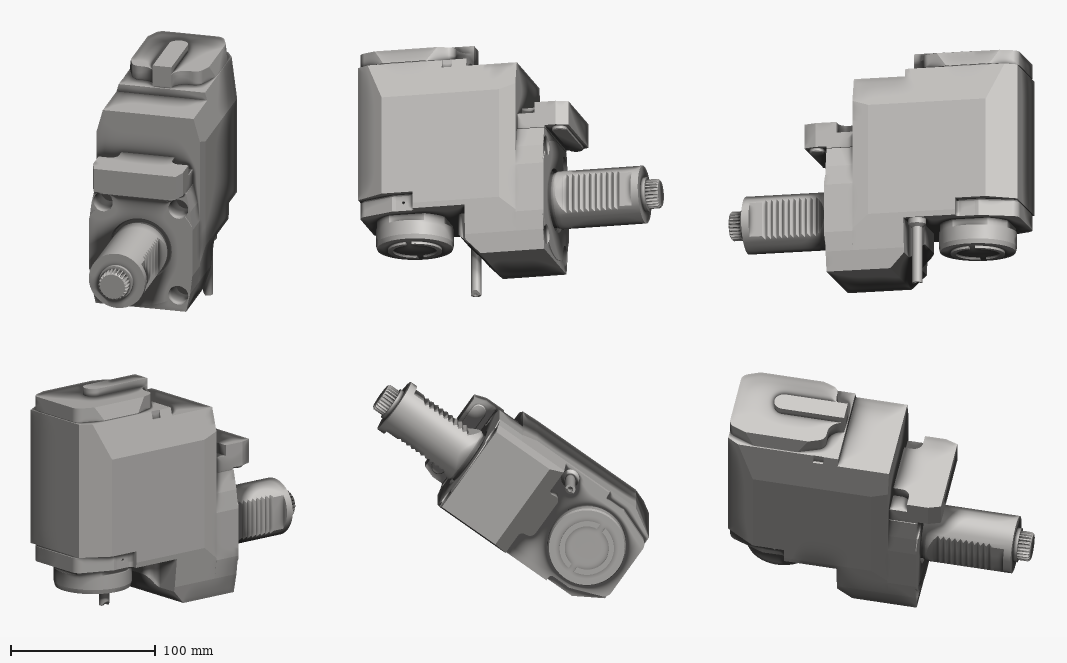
import cadquery as cq
import math


HOUSING_BACK = 133.8
HOUSING_FRONT = 19.5
HOUSING_TOP = 97.5
HOUSING_STEP_Y = 55.5
HOUSING_STEP_Z = 91.9
HEAD_BOTTOM = -9.6
FOOT_BOTTOM = -43.8
FOOT_CHAMFER_Y = 45.3
FOOT_CHAMFER = HOUSING_STEP_Y - FOOT_CHAMFER_Y

HALF_WIDTH = 38.0
TOP_HALF_WIDTH = 31.0
SHOULDER_Z = 71.6
LOWER_SLOPE_Z = -5.8
BACK_HALF_WIDTH = 26.0
BACK_BEVEL_Y = 114.2
FRONT_BEVEL_Y = 31.0

FLANGE_HALF_WIDTH = 37.0
FLANGE_BEND_HALF_WIDTH = 35.3
FLANGE_END_HALF_WIDTH = 32.4
FLANGE_STRAIGHT_Z = 17.0
FLANGE_BEND_Z = 30.3
FLANGE_TOP = 43.6
FACE_DISC_DIA = 83.0
FACE_DISC_HEIGHT = 0.6
BOLT_HOLE_DIA = 14.0
BOLT_X = 27.0
BOLT_Z = 32.0
SHANK_RECESS_DIA = 42.5
SHANK_RECESS_CHAMFER = 1.0
SHANK_RECESS_DEPTH = 2.0

SHANK_DIA = 40.0
SHANK_START_Y = -3.3
SHANK_END_Y = -63.5
NECK_DIA = 38.6
NECK_GROOVE_DIA = 37.4
NECK_GROOVE_END_Y = -1.7
FLAT_X = 16.0
FLAT_END_Y = -58.3
FLAT_START_Y = -9.2
RAMP_END_Y = -4.5
GROOVE_COUNT = 10
GROOVE_DEPTH = 1.7
FIRST_GROOVE_Y = -11.5
LAST_GROOVE_Y = -47.6
BOSS_DIA = 23.8
BOSS_END_Y = -66.2
SPLINE_TIP_DIA = 20.5
SPLINE_ROOT_DIA = 17.5
SPLINE_END_Y = -75.0
SPLINE_TEETH = 24
SPLINE_CHAMFER = 1.3

PLATE_BOTTOM = 98.3
PLATE_TOP = 108.2
PLATE_BACK_HALF_WIDTH = 23.0
PLATE_WIDE_HALF_WIDTH = 33.5
PLATE_BACK_FLARE_Y = 108.4
PLATE_FRONT_FLARE_Y = 91.7
PLATE_LOBE_Y = 66.0
PLATE_LOBE_HALF_WIDTH = 23.8
PLATE_CORNER_RADIUS = 6.3
PLATE_NECK_INSET = 1.0
KEY_HALF_WIDTH = 6.7
KEY_FRONT = 56.2
KEY_BACK = 106.5
KEY_TOP = 113.5

EDGE_POCKET_FRONT = 65.8
EDGE_POCKET_BACK = 72.9
EDGE_POCKET_FLOOR_X = -30.7

BASE_RECESS_Z = 2.3
BASE_TOP = 1.0
RECESS_WALL_Y = 92.3
BASE_FILLET = 2.3
BASE_SIDE_X = 32.5
BASE_SIDE_Y = 105.5
BASE_BEND_X = 32.8
BASE_BEND_Y = 108.0
BASE_BACK_X = 23.0
BASE_NECK_INSET = 1.0
BASE_CORNER_RADIUS = 6.3
BASE_PIN_HOLE_DIA = 2.0
BASE_PIN_HOLE_DEPTH = 4.2
BASE_PIN_HOLE_Y = 100.0
BASE_PIN_HOLE_Z = -3.8

SPINDLE_Y = 99.8
NUT_DIA = 54.0
WRENCH_SIZE = 48.0
WRENCH_BOTTOM = -14.6
NUT_BOTTOM = -27.8
NUT_CHAMFER_HEIGHT = 3.1
NUT_CHAMFER_WIDTH = 0.8
RING_OUTER_DIA = 37.5
RING_INNER_DIA = 30.5
RING_BOTTOM = -29.5
RING_SLOT_WIDTH = 4.4

RIB_HALF_WIDTH = 16.7
RIB_BACK = 65.5
RIB_RADIUS = 4.2
RIB_FOOT_RADIUS = 3.0
TUBE_X = 30.7
TUBE_Y = 63.9
TUBE_DIA = 7.0
TUBE_BORE_DIA = 4.0
TUBE_END_Z = -55.0
TUBE_CUT_WIDTH = 2.5
TUBE_CUT_HEIGHT = 3.1
GLAND_DIA = 12.5
GLAND_BOTTOM = -15.5
GLAND_CHAMFER = 2.0

BLOCK_GAP = 0.5
BLOCK_HALF_WIDTH = 32.2
BLOCK_TOP = 62.2
BLOCK_NOSE_BOTTOM = 45.3
BLOCK_FRONT = -16.5
BLOCK_CHAMFER_X = 3.0
BLOCK_CHAMFER_Y = 8.5
NOTCH_X = 19.0
NOTCH_FRONT = 6.9
NOTCH_FLOOR = 54.7
NOTCH_RADIUS = 6.0
PAD_LENGTH = 57.6
PAD_WIDTH = 10.5
PAD_Y = -8.8
PAD_BOTTOM = 42.8
PAD_CHAMFER = 0.6


def mirrored(half_outline):
    """Close a right-hand outline with its mirror image about X = 0."""
    return half_outline + [(-x, y) for x, y in reversed(half_outline)]


def prism_along_y(points, y_front, y_back):
    """Extrude an X-Z outline from y_front to y_back."""
    plane = cq.Workplane("XZ", origin=(0, y_front, 0))
    return plane.polyline(points).close().extrude(y_front - y_back)


def cylinder_along_y(diameter, y_front, y_back, x=0.0, z=0.0):
    plane = cq.Workplane("XZ", origin=(x, y_front, z))
    return plane.circle(diameter / 2).extrude(y_front - y_back)


def cylinder_along_z(diameter, z_bottom, z_top, x, y):
    plane = cq.Workplane("XY", origin=(x, y, z_bottom))
    return plane.circle(diameter / 2).extrude(z_top - z_bottom)


def box(x_range, y_range, z_range):
    size = [end - start for start, end in (x_range, y_range, z_range)]
    corner = (x_range[0], y_range[0], z_range[0])
    return cq.Workplane("XY").box(*size, centered=False).translate(corner)


def side_slope_envelope(z_top):
    """Front outline of the housing with its upper slopes carried on to z_top."""
    lean = (HALF_WIDTH - TOP_HALF_WIDTH) / (HOUSING_TOP - SHOULDER_Z)
    right_side = [
        (FLANGE_END_HALF_WIDTH, FOOT_BOTTOM),
        (FLANGE_BEND_HALF_WIDTH, -FLANGE_BEND_Z),
        (HALF_WIDTH, LOWER_SLOPE_Z),
        (HALF_WIDTH, SHOULDER_Z),
        (HALF_WIDTH - lean * (z_top - SHOULDER_Z), z_top),
    ]
    return prism_along_y(mirrored(right_side), HOUSING_FRONT, HOUSING_BACK)


def housing_body():
    side_outline = [
        (HOUSING_FRONT, FOOT_BOTTOM),
        (FOOT_CHAMFER_Y, FOOT_BOTTOM),
        (HOUSING_STEP_Y, FOOT_BOTTOM + FOOT_CHAMFER),
        (HOUSING_STEP_Y, HEAD_BOTTOM),
        (HOUSING_BACK, HEAD_BOTTOM),
        (HOUSING_BACK, HOUSING_TOP),
        (HOUSING_STEP_Y, HOUSING_TOP),
        (HOUSING_STEP_Y, HOUSING_STEP_Z),
        (HOUSING_FRONT, HOUSING_STEP_Z),
    ]
    plan_right_side = [
        (FLANGE_HALF_WIDTH, HOUSING_FRONT),
        (HALF_WIDTH, FRONT_BEVEL_Y),
        (HALF_WIDTH, BACK_BEVEL_Y),
        (BACK_HALF_WIDTH, HOUSING_BACK),
    ]
    side = cq.Workplane("YZ").polyline(side_outline).close().extrude(HALF_WIDTH, both=True)
    plan = (
        cq.Workplane("XY", origin=(0, 0, FOOT_BOTTOM))
        .polyline(mirrored(plan_right_side))
        .close()
        .extrude(HOUSING_TOP - FOOT_BOTTOM)
    )
    return side.intersect(plan).intersect(side_slope_envelope(HOUSING_TOP))


def flange():
    right_side = [
        (FLANGE_END_HALF_WIDTH, FOOT_BOTTOM),
        (FLANGE_BEND_HALF_WIDTH, -FLANGE_BEND_Z),
        (FLANGE_HALF_WIDTH, -FLANGE_STRAIGHT_Z),
        (FLANGE_HALF_WIDTH, FLANGE_STRAIGHT_Z),
        (FLANGE_BEND_HALF_WIDTH, FLANGE_BEND_Z),
        (FLANGE_END_HALF_WIDTH, FLANGE_TOP),
    ]
    plate = prism_along_y(mirrored(right_side), -FACE_DISC_HEIGHT, HOUSING_FRONT)
    disc = cylinder_along_y(FACE_DISC_DIA, -FACE_DISC_HEIGHT, HOUSING_FRONT)
    full_thickness = prism_along_y(mirrored(right_side), 0, HOUSING_FRONT)
    mounting_flange = plate.intersect(disc).union(full_thickness)
    for x in (-BOLT_X, BOLT_X):
        for z in (-BOLT_Z, BOLT_Z):
            hole = cylinder_along_y(BOLT_HOLE_DIA, -FACE_DISC_HEIGHT, HOUSING_FRONT, x, z)
            mounting_flange = mounting_flange.cut(hole)
    recess = cylinder_along_y(SHANK_RECESS_DIA, -FACE_DISC_HEIGHT, SHANK_RECESS_DEPTH)
    rim_radius = SHANK_RECESS_DIA / 2 + SHANK_RECESS_CHAMFER
    rim = cq.Solid.makeCone(
        rim_radius,
        SHANK_RECESS_DIA / 2,
        SHANK_RECESS_CHAMFER,
        pnt=(0, -FACE_DISC_HEIGHT, 0),
        dir=(0, 1, 0),
    )
    return mounting_flange.cut(recess).cut(cq.Workplane(rim))


def toothed_flat_cutter():
    """Cutter for one flat on the +X side, with V grooves across it."""
    depth = SHANK_DIA / 2 - FLAT_X
    flat_outline = [
        (FLAT_X, FLAT_END_Y),
        (FLAT_X + depth, FLAT_END_Y),
        (FLAT_X + depth, RAMP_END_Y),
        (FLAT_X, FLAT_START_Y),
    ]
    cutter = cq.Workplane("XY").polyline(flat_outline).close().extrude(SHANK_DIA, both=True)
    pitch = (FIRST_GROOVE_Y - LAST_GROOVE_Y) / (GROOVE_COUNT - 1)
    for i in range(GROOVE_COUNT):
        groove_y = FIRST_GROOVE_Y - i * pitch
        v_outline = [
            (FLAT_X - GROOVE_DEPTH, groove_y),
            (FLAT_X, groove_y - pitch / 2),
            (FLAT_X, groove_y + pitch / 2),
        ]
        groove = cq.Workplane("XY").polyline(v_outline).close().extrude(SHANK_DIA, both=True)
        cutter = cutter.union(groove)
    return cutter


def shank():
    groove = cylinder_along_y(NECK_GROOVE_DIA, NECK_GROOVE_END_Y, SHANK_RECESS_DEPTH)
    neck = cylinder_along_y(NECK_DIA, SHANK_START_Y, NECK_GROOVE_END_Y)
    barrel = cylinder_along_y(SHANK_DIA, SHANK_END_Y, SHANK_START_Y)
    cutter = toothed_flat_cutter()
    barrel = barrel.cut(cutter).cut(cutter.mirror("YZ"))
    boss = cylinder_along_y(BOSS_DIA, BOSS_END_Y, SHANK_END_Y)
    return groove.union(neck).union(barrel).union(boss).union(spline())


def spline():
    points = []
    pitch_angle = 2 * math.pi / SPLINE_TEETH
    tip_half_angle = pitch_angle / 8
    root_half_angle = 3 * tip_half_angle
    for i in range(SPLINE_TEETH):
        centre = i * pitch_angle
        corners = [
            (SPLINE_ROOT_DIA / 2, -root_half_angle),
            (SPLINE_TIP_DIA / 2, -tip_half_angle),
            (SPLINE_TIP_DIA / 2, tip_half_angle),
            (SPLINE_ROOT_DIA / 2, root_half_angle),
        ]
        for radius, turn in corners:
            angle = centre + turn
            points.append((radius * math.cos(angle), radius * math.sin(angle)))
    teeth = prism_along_y(points, SPLINE_END_Y, BOSS_END_Y)
    blank = cylinder_along_y(SPLINE_TIP_DIA, SPLINE_END_Y, BOSS_END_Y)
    return teeth.intersect(blank.faces("<Y").chamfer(SPLINE_CHAMFER))


def top_plate_outline():
    """Top plate from the housing top up, trimmed by the housing's side slopes."""
    height = PLATE_TOP - HOUSING_TOP
    right_side = [
        (PLATE_LOBE_HALF_WIDTH, PLATE_LOBE_Y),
        (PLATE_WIDE_HALF_WIDTH, PLATE_FRONT_FLARE_Y),
        (PLATE_WIDE_HALF_WIDTH, PLATE_BACK_FLARE_Y),
        (PLATE_BACK_HALF_WIDTH, HOUSING_BACK),
    ]
    plane = cq.Workplane("XY", origin=(0, 0, HOUSING_TOP))
    plate = plane.polyline(mirrored(right_side)).close().extrude(height)
    plate = plate.edges("|Z and (<Y or >Y)").fillet(PLATE_CORNER_RADIUS)
    scallop_radius = PLATE_LOBE_Y - KEY_FRONT
    scallop_x = KEY_HALF_WIDTH + scallop_radius
    diagonal = scallop_radius * math.sqrt(0.5)
    tongue = (
        plane.moveTo(-KEY_HALF_WIDTH, KEY_FRONT)
        .lineTo(KEY_HALF_WIDTH, KEY_FRONT)
        .threePointArc((scallop_x - diagonal, KEY_FRONT + diagonal), (scallop_x, PLATE_LOBE_Y))
        .lineTo(-scallop_x, PLATE_LOBE_Y)
        .threePointArc((diagonal - scallop_x, KEY_FRONT + diagonal), (-KEY_HALF_WIDTH, KEY_FRONT))
        .close()
        .extrude(height)
    )
    return plate.union(tongue).intersect(side_slope_envelope(PLATE_TOP))


def top_plate():
    outline = top_plate_outline()
    layer = box((-HALF_WIDTH, HALF_WIDTH), (0, HOUSING_BACK), (PLATE_BOTTOM, PLATE_TOP))
    plate = outline.intersect(layer)
    neck = (
        plate.faces("<Z")
        .wires()
        .toPending()
        .offset2D(-PLATE_NECK_INSET)
        .extrude(HOUSING_TOP - PLATE_BOTTOM, combine=False)
    )
    return plate.union(neck)


def key():
    end_centre_y = KEY_BACK - KEY_HALF_WIDTH
    return (
        cq.Workplane("XY", origin=(0, 0, PLATE_BOTTOM))
        .moveTo(-KEY_HALF_WIDTH, KEY_FRONT)
        .lineTo(KEY_HALF_WIDTH, KEY_FRONT)
        .lineTo(KEY_HALF_WIDTH, end_centre_y)
        .threePointArc((0, KEY_BACK), (-KEY_HALF_WIDTH, end_centre_y))
        .close()
        .extrude(KEY_TOP - PLATE_BOTTOM)
    )


def edge_pocket():
    return box(
        (-HALF_WIDTH, EDGE_POCKET_FLOOR_X),
        (EDGE_POCKET_FRONT, EDGE_POCKET_BACK),
        (HOUSING_STEP_Z, HOUSING_TOP),
    )


def base_recess():
    return box((-HALF_WIDTH, HALF_WIDTH), (RECESS_WALL_Y, HOUSING_BACK), (HEAD_BOTTOM, BASE_RECESS_Z))


def base_plate():
    fillet_x = BASE_SIDE_X + BASE_FILLET
    fillet_y = RECESS_WALL_Y + BASE_FILLET
    diagonal = BASE_FILLET * math.sqrt(0.5)
    right_half = (
        cq.Workplane("XY", origin=(0, 0, HEAD_BOTTOM))
        .moveTo(0, RECESS_WALL_Y)
        .lineTo(fillet_x, RECESS_WALL_Y)
        .threePointArc((fillet_x - diagonal, fillet_y - diagonal), (BASE_SIDE_X, fillet_y))
        .lineTo(BASE_SIDE_X, BASE_SIDE_Y)
        .lineTo(BASE_BEND_X, BASE_BEND_Y)
        .lineTo(BASE_BACK_X, HOUSING_BACK)
        .lineTo(0, HOUSING_BACK)
        .close()
        .extrude(BASE_TOP - HEAD_BOTTOM)
        .edges("|Z and >Y")
        .edges(">X")
        .fillet(BASE_CORNER_RADIUS)
    )
    plate = right_half.union(right_half.mirror("YZ"))
    neck = (
        plate.faces(">Z")
        .wires()
        .toPending()
        .offset2D(-BASE_NECK_INSET)
        .extrude(BASE_RECESS_Z - BASE_TOP, combine=False)
    )
    pin_hole = (
        cq.Workplane("YZ", origin=(-BASE_SIDE_X, BASE_PIN_HOLE_Y, BASE_PIN_HOLE_Z))
        .circle(BASE_PIN_HOLE_DIA / 2)
        .extrude(BASE_PIN_HOLE_DEPTH)
    )
    return plate.union(neck).cut(pin_hole)


def spindle_nose():
    nut = cylinder_along_z(NUT_DIA, NUT_BOTTOM, WRENCH_BOTTOM, 0, SPINDLE_Y)
    nut = nut.faces("<Z").chamfer(NUT_CHAMFER_HEIGHT, NUT_CHAMFER_WIDTH)
    half_square = WRENCH_SIZE / 2
    square = box(
        (-half_square, half_square),
        (SPINDLE_Y - half_square, SPINDLE_Y + half_square),
        (WRENCH_BOTTOM, HEAD_BOTTOM),
    )
    flats = cylinder_along_z(NUT_DIA, WRENCH_BOTTOM, HEAD_BOTTOM, 0, SPINDLE_Y).intersect(square)
    ring = cylinder_along_z(RING_OUTER_DIA, RING_BOTTOM, NUT_BOTTOM, 0, SPINDLE_Y)
    ring = ring.cut(cylinder_along_z(RING_INNER_DIA, RING_BOTTOM, NUT_BOTTOM, 0, SPINDLE_Y))
    slot = box(
        (-RING_OUTER_DIA, RING_OUTER_DIA),
        (SPINDLE_Y - RING_SLOT_WIDTH / 2, SPINDLE_Y + RING_SLOT_WIDTH / 2),
        (RING_BOTTOM, NUT_BOTTOM),
    )
    return nut.union(flats).union(ring.cut(slot))


def rib():
    """Rounded vertical rib behind the foot, ending on the plane of the foot chamfer."""
    wall = HOUSING_STEP_Y
    edge = RIB_HALF_WIDTH + RIB_FOOT_RADIUS
    inner = RIB_RADIUS * (1 - math.sqrt(0.5))
    foot = RIB_FOOT_RADIUS * (1 - math.sqrt(0.5))
    column = (
        cq.Workplane("XY", origin=(0, 0, FOOT_BOTTOM))
        .moveTo(-edge, wall)
        .lineTo(edge, wall)
        .threePointArc((RIB_HALF_WIDTH + foot, wall + foot), (RIB_HALF_WIDTH, wall + RIB_FOOT_RADIUS))
        .lineTo(RIB_HALF_WIDTH, RIB_BACK - RIB_RADIUS)
        .threePointArc(
            (RIB_HALF_WIDTH - inner, RIB_BACK - inner), (RIB_HALF_WIDTH - RIB_RADIUS, RIB_BACK)
        )
        .lineTo(RIB_RADIUS - RIB_HALF_WIDTH, RIB_BACK)
        .threePointArc(
            (inner - RIB_HALF_WIDTH, RIB_BACK - inner), (-RIB_HALF_WIDTH, RIB_BACK - RIB_RADIUS)
        )
        .lineTo(-RIB_HALF_WIDTH, wall + RIB_FOOT_RADIUS)
        .threePointArc((-RIB_HALF_WIDTH - foot, wall + foot), (-edge, wall))
        .close()
        .extrude(HEAD_BOTTOM - FOOT_BOTTOM)
    )
    chamfer_start = FOOT_BOTTOM + FOOT_CHAMFER
    above_chamfer = [
        (wall, chamfer_start),
        (RIB_BACK, chamfer_start + RIB_BACK - wall),
        (RIB_BACK, HEAD_BOTTOM),
        (wall, HEAD_BOTTOM),
    ]
    return column.intersect(cq.Workplane("YZ").polyline(above_chamfer).close().extrude(edge, both=True))


def coolant_tube():
    tube = cylinder_along_z(TUBE_DIA, TUBE_END_Z, HEAD_BOTTOM, TUBE_X, TUBE_Y)
    gland = cylinder_along_z(GLAND_DIA, GLAND_BOTTOM, HEAD_BOTTOM, TUBE_X, TUBE_Y)
    tube = tube.union(gland.faces("<Z").chamfer(GLAND_CHAMFER))
    tube = tube.cut(cylinder_along_z(TUBE_BORE_DIA, TUBE_END_Z, HEAD_BOTTOM, TUBE_X, TUBE_Y))
    left = TUBE_X - TUBE_DIA / 2
    corner = [
        (left, TUBE_END_Z),
        (left + TUBE_CUT_WIDTH, TUBE_END_Z),
        (left, TUBE_END_Z + TUBE_CUT_HEIGHT),
    ]
    return tube.cut(prism_along_y(corner, TUBE_Y - TUBE_DIA, TUBE_Y + TUBE_DIA))


def make_holder():
    body = housing_body().cut(edge_pocket()).cut(base_recess())
    features = [
        flange(),
        shank(),
        top_plate(),
        key(),
        base_plate(),
        spindle_nose(),
        rib(),
        coolant_tube(),
    ]
    for feature in features:
        body = body.union(feature)
    return body


def make_locating_block():
    back = HOUSING_FRONT - BLOCK_GAP
    bottom = FLANGE_TOP + BLOCK_GAP
    plan_right_side = [
        (BLOCK_HALF_WIDTH, back),
        (BLOCK_HALF_WIDTH, BLOCK_FRONT + BLOCK_CHAMFER_Y),
        (BLOCK_HALF_WIDTH - BLOCK_CHAMFER_X, BLOCK_FRONT),
    ]
    block = (
        cq.Workplane("XY", origin=(0, 0, bottom))
        .polyline(mirrored(plan_right_side))
        .close()
        .extrude(BLOCK_TOP - bottom)
    )
    full_width = (-BLOCK_HALF_WIDTH, BLOCK_HALF_WIDTH)
    block = block.cut(box(full_width, (BLOCK_FRONT, 0), (bottom, BLOCK_NOSE_BOTTOM)))
    notch = (
        box((NOTCH_X, BLOCK_HALF_WIDTH), (NOTCH_FRONT, back), (NOTCH_FLOOR, BLOCK_TOP))
        .edges("|Z and <X and <Y")
        .fillet(NOTCH_RADIUS)
    )
    pad = (
        cq.Workplane("XY", origin=(0, PAD_Y, PAD_BOTTOM))
        .slot2D(PAD_LENGTH, PAD_WIDTH)
        .extrude(BLOCK_NOSE_BOTTOM - PAD_BOTTOM)
        .faces("<Z")
        .chamfer(PAD_CHAMFER)
    )
    return block.cut(notch).cut(notch.mirror("YZ")).union(pad)


holder = make_holder()
locating_block = make_locating_block()

result = cq.Compound.makeCompound([holder.val(), locating_block.val()])